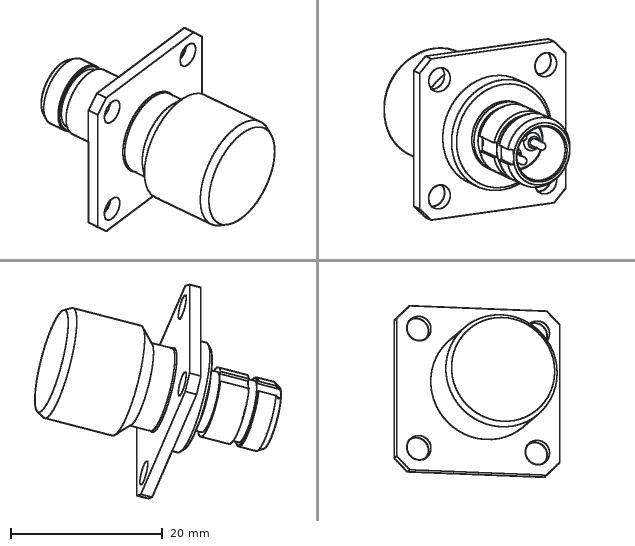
import cadquery as cq
import math

total_length = 30.5

barrel_radius = 4.73
nose_radius = 4.2
nose_length = 0.85
nose_band_end = 3.42
nose_band_chamfer = 0.15
front_groove_radius = 4.2
front_groove_end = 4.6
middle_band_end = 8.57
rear_groove_radius = 4.12
rear_groove_end = 9.95

body_radius = 7.5
collar_start = 10.52
collar_chamfer = 0.5

flange_side = 22.0
flange_start = 13.42
flange_thickness = 1.6
flange_corner = 1.77
mount_hole_pitch = 15.98
mount_hole_diameter = 3.23

neck_radius = 5.65
neck_root_length = 0.25
neck_root_height = 0.1
neck_end = 18.2
rear_chamfer_length = 1.0
rear_chamfer_height = 0.55

slot_width = 2.0
slot_floor_radius = 4.2

bore_radius = 3.63
bore_depth = 6.1
mouth_chamfer = 0.18
insert_edge_chamfer = 0.18

pin_count = 3
pin_circle_radius = 1.9
pin_first_angle = 180.0
pin_radius = 0.52
pin_tip_rounding = 0.4
pin_tip_depth = 3.0
pin_base_radius = 1.22
pin_base_top_radius = 0.8

flange_end = flange_start + flange_thickness


def revolve_about_x(outline):
    """Revolve a closed outline of (x, radius) points about the X axis."""
    profile = cq.Workplane("XY").polyline(outline).close()
    return profile.revolve(360, (0, 0, 0), (1, 0, 0))


def make_body():
    """Turned outer shape, from the plug nose to the rear shell."""
    shell_start = neck_end + body_radius - neck_radius
    return revolve_about_x([
        (0, 0),
        (0, nose_radius),
        (nose_length, barrel_radius),
        (nose_band_end - nose_band_chamfer, barrel_radius),
        (nose_band_end, barrel_radius - nose_band_chamfer),
        (nose_band_end, front_groove_radius),
        (front_groove_end, front_groove_radius),
        (front_groove_end, barrel_radius),
        (middle_band_end, barrel_radius),
        (middle_band_end, rear_groove_radius),
        (rear_groove_end, rear_groove_radius),
        (rear_groove_end, barrel_radius),
        (collar_start, barrel_radius),
        (collar_start, body_radius - collar_chamfer),
        (collar_start + collar_chamfer, body_radius),
        (flange_start, body_radius),
        (flange_end, neck_radius + neck_root_height),
        (flange_end + neck_root_length, neck_radius),
        (neck_end, neck_radius),
        (shell_start, body_radius),
        (total_length - rear_chamfer_length, body_radius),
        (total_length, body_radius - rear_chamfer_height),
        (total_length, 0),
    ])


def make_flange():
    """Square plate with cut corners and four mounting holes."""
    plate = (
        cq.Workplane("YZ", origin=(flange_start, 0, 0))
        .rect(flange_side, flange_side)
        .extrude(flange_thickness)
        .edges("|X")
        .chamfer(flange_corner)
    )
    holes = (
        cq.Workplane("YZ", origin=(flange_start, 0, 0))
        .rect(mount_hole_pitch, mount_hole_pitch, forConstruction=True)
        .vertices()
        .circle(mount_hole_diameter / 2)
        .extrude(flange_thickness)
    )
    return plate, holes


def make_bore():
    """Socket bore with a chamfered mouth; its floor keeps the chamfered edge of the insert."""
    return revolve_about_x([
        (0, 0),
        (0, bore_radius + mouth_chamfer),
        (mouth_chamfer, bore_radius),
        (bore_depth + insert_edge_chamfer, bore_radius),
        (bore_depth, bore_radius - insert_edge_chamfer),
        (bore_depth, 0),
    ])


def make_key_slot():
    """Slot through both barrel bands, stopping at the ring ahead of the collar.

    The cutter rises twice the slot depth so that it clears the barrel surface.
    """
    slot_height = 2 * (barrel_radius - slot_floor_radius)
    return cq.Workplane("XY", origin=(0, slot_floor_radius, 0)).box(
        rear_groove_end, slot_height, slot_width, centered=(False, False, True)
    )


def make_pin():
    """Round-tipped pin standing on a conical base, rooted in the bore floor."""
    base_height = pin_base_radius - pin_base_top_radius
    base = revolve_about_x([
        (bore_depth + insert_edge_chamfer, 0),
        (bore_depth + insert_edge_chamfer, pin_base_radius),
        (bore_depth, pin_base_radius),
        (bore_depth - base_height, pin_base_top_radius),
        (bore_depth - base_height, 0),
    ])
    shaft = (
        cq.Workplane("YZ", origin=(pin_tip_depth, 0, 0))
        .circle(pin_radius)
        .extrude(bore_depth - pin_tip_depth)
        .faces("<X")
        .edges()
        .fillet(pin_tip_rounding)
    )
    return base.union(shaft)


flange_plate, mount_holes = make_flange()
connector = make_body().union(flange_plate).cut(mount_holes)
connector = connector.cut(make_bore()).cut(make_key_slot())

pin = make_pin()
for index in range(pin_count):
    angle = math.radians(pin_first_angle + index * 360 / pin_count)
    pin_y = pin_circle_radius * math.cos(angle)
    pin_z = pin_circle_radius * math.sin(angle)
    connector = connector.union(pin.translate((0, pin_y, pin_z)))

result = connector.translate((-total_length / 2, 0, 0))